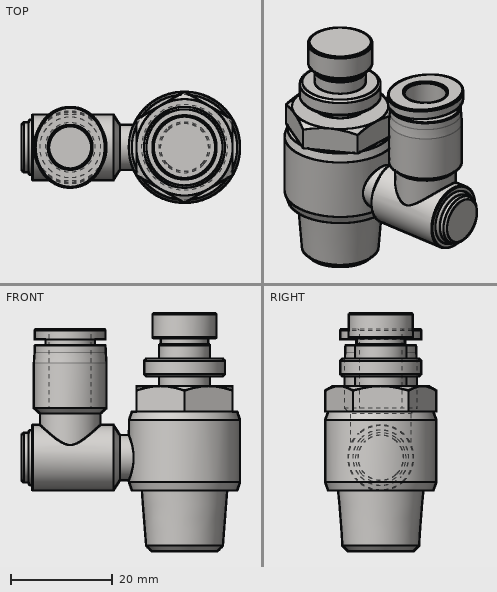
import cadquery as cq
import math


thread_height = 12.0
thread_tip_radius = 7.6
thread_root_radius = 8.45
thread_chamfer = 1.15

body_radius = 11.0
body_top = 27.6
body_chamfer_height = 1.7
body_chamfer_width = 0.6
hex_across_flats = 19.0
hex_top = 32.6
hex_chamfer_angle = math.radians(30)

stem_radius = 5.05
stem_top = 40.9
stem_chamfer = 0.25
locknut_radius = 8.0
locknut_bottom = 34.5
locknut_top = 38.1
locknut_chamfer = 0.5
knob_neck_radius = 4.7
knob_radius = 6.35
knob_bottom = 42.0
knob_top = 47.0
knob_chamfer = 0.3

arm_radius = 6.5
arm_axis_z = thread_height + arm_radius
arm_neck_radius = 4.5
arm_neck_start_x = -12.75
arm_shoulder_x = -14.05
arm_end_x = -30.05
arm_edge_chamfer = 0.15

seal_ring_center_x = -30.25
seal_ring_center_radius = 5.0
seal_ring_section_radius = 0.5
plug_radius = 4.95
plug_end_x = -32.2
plug_chamfer = 0.5

port_axis_x = -22.55
port_stem_radius = 6.0
port_radius = 7.2
port_cone_bottom = 27.2
port_cone_top = 28.3
port_taper_bottom = 37.2
port_cap_bottom = 39.2
port_cap_radius = 7.05
port_top_radius = 7.0
port_top = 40.75
port_top_chamfer = 0.15

collar_half_x = 7.0
collar_half_y = 8.0
collar_bottom = 41.85
collar_top = 43.85
collar_chamfer_height = 0.3
collar_chamfer_width = 0.2
collar_neck_radius = 4.9
bore_radius = 4.15
bore_chamfer = 0.3
bore_floor = port_cone_top


def cylinder_z(radius, bottom, top, axis_x=0.0):
    """Upright cylinder between two heights."""
    base = cq.Workplane("XY", origin=(axis_x, 0, bottom))
    return base.circle(radius).extrude(top - bottom)


def turned_z(profile, axis_x=0.0):
    """Revolve (radius, height) points, closed through the axis, about a vertical axis."""
    closed = [(0, profile[0][1])] + profile + [(0, profile[-1][1])]
    outline = cq.Workplane("XZ", origin=(axis_x, 0, 0)).polyline(closed).close()
    return outline.revolve(360, (0, 0, 0), (0, 1, 0))


def make_thread():
    return turned_z([
        (thread_tip_radius - thread_chamfer, 0),
        (thread_tip_radius, thread_chamfer),
        (thread_root_radius, thread_height),
    ])


def make_body():
    end_radius = body_radius - body_chamfer_width
    return turned_z([
        (end_radius, thread_height),
        (body_radius, thread_height + body_chamfer_height),
        (body_radius, body_top - body_chamfer_height),
        (end_radius, body_top),
    ])


def make_hexagon():
    """Hexagon with corners on the Y axis and a conical chamfer on its upper corners."""
    flat_radius = hex_across_flats / 2
    corner_radius = flat_radius / math.cos(math.pi / 6)
    corner_drop = (corner_radius - flat_radius) * math.tan(hex_chamfer_angle)
    prism = (
        cq.Workplane("XY", origin=(0, 0, body_top))
        .transformed(rotate=(0, 0, 90))
        .polygon(6, 2 * corner_radius)
        .extrude(hex_top - body_top)
    )
    envelope = turned_z([
        (corner_radius, body_top),
        (corner_radius, hex_top - corner_drop),
        (flat_radius, hex_top),
    ])
    return prism.intersect(envelope)


def make_adjuster():
    """Stem, lock nut and knob."""
    stem = cylinder_z(stem_radius, hex_top, stem_top).faces(">Z").chamfer(stem_chamfer)
    locknut = cylinder_z(locknut_radius, locknut_bottom, locknut_top).edges().chamfer(locknut_chamfer)
    neck = cylinder_z(knob_neck_radius, stem_top, knob_bottom)
    knob = cylinder_z(knob_radius, knob_bottom, knob_top).edges().chamfer(knob_chamfer)
    return stem.union(locknut).union(neck).union(knob)


def make_arm():
    """Elbow arm and end plug, turned about the arm axis and running into the valve body."""
    outline = (
        cq.Workplane("XZ", origin=(0, 0, arm_axis_z))
        .moveTo(plug_end_x, 0)
        .lineTo(plug_end_x, plug_radius - plug_chamfer)
        .lineTo(plug_end_x + plug_chamfer, plug_radius)
        .lineTo(arm_end_x, plug_radius)
        .lineTo(arm_end_x, arm_radius - arm_edge_chamfer)
        .lineTo(arm_end_x + arm_edge_chamfer, arm_radius)
        .lineTo(arm_shoulder_x, arm_radius)
        .lineTo(arm_neck_start_x, arm_neck_radius)
        .lineTo(0, arm_neck_radius)
        .lineTo(0, 0)
        .close()
    )
    return outline.revolve(360, (0, 0, 0), (1, 0, 0))


def make_seal_ring():
    """Round-section ring around the plug, partly sunk into the end of the arm."""
    section = (
        cq.Workplane("XZ", origin=(0, 0, arm_axis_z))
        .center(seal_ring_center_x, seal_ring_center_radius)
        .circle(seal_ring_section_radius)
    )
    return section.revolve(360, (0, -seal_ring_center_radius, 0), (1, -seal_ring_center_radius, 0))


def make_port():
    """Tube port rising from the arm axis."""
    return turned_z([
        (port_stem_radius, arm_axis_z),
        (port_stem_radius, port_cone_bottom),
        (port_radius, port_cone_top),
        (port_radius, port_taper_bottom),
        (port_cap_radius, port_cap_bottom),
        (port_top_radius, port_top - port_top_chamfer),
        (port_top_radius - port_top_chamfer, port_top),
    ], port_axis_x)


def make_collar():
    """Oval release collar on a round neck."""
    neck = cylinder_z(collar_neck_radius, port_top, collar_bottom, port_axis_x)
    flange = (
        cq.Workplane("XY", origin=(port_axis_x, 0, collar_bottom))
        .ellipse(collar_half_x, collar_half_y)
        .extrude(collar_top - collar_bottom)
        .faces(">Z")
        .chamfer(collar_chamfer_height, collar_chamfer_width)
    )
    return neck.union(flange)


def make_bore():
    """Blind tube bore with a chamfered mouth."""
    return turned_z([
        (bore_radius, bore_floor),
        (bore_radius, collar_top - bore_chamfer),
        (bore_radius + bore_chamfer, collar_top),
    ], port_axis_x)


valve = make_thread().union(make_body()).union(make_hexagon()).union(make_adjuster())
elbow = make_arm().union(make_seal_ring()).union(make_port()).union(make_collar()).cut(make_bore())
result = valve.union(elbow)